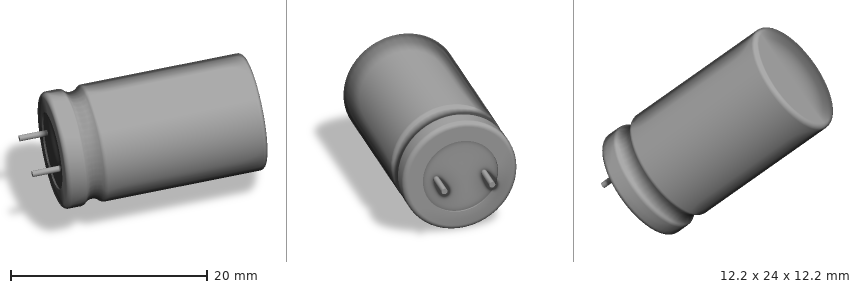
import cadquery as cq
import math

total_length = 24.0
can_diameter = 12.2
lead_length = 2.78
can_length = total_length - lead_length
can_radius = can_diameter / 2

rim_radius = 0.5

groove_center = 3.05
groove_depth = 0.53
groove_radius = 1.2
shoulder_radius = 0.5

recess_diameter = 8.02
recess_depth = 0.2

lead_diameter = 0.62
lead_spacing = 5.1


def make_can():
    """Plain cylinder with rounded rims."""
    can = cq.Workplane("XZ").circle(can_radius).extrude(-can_length)
    return can.faces("<Y or >Y").edges().fillet(rim_radius)


def make_groove_cutter():
    """Ring swept around the can's axis that removes the crimp groove."""
    floor_radius = can_radius - groove_depth
    arc_center_radius = floor_radius + groove_radius
    shoulder_center_radius = can_radius - shoulder_radius

    center_rise = arc_center_radius - shoulder_center_radius
    blend_angle = math.acos(center_rise / (groove_radius + shoulder_radius))
    half_width = (groove_radius + shoulder_radius) * math.sin(blend_angle)
    tangent_offset = groove_radius * math.sin(blend_angle)
    tangent_radius = arc_center_radius - groove_radius * math.cos(blend_angle)

    shoulder_mid_offset = half_width - shoulder_radius * math.sin(blend_angle / 2)
    shoulder_mid_radius = shoulder_center_radius + shoulder_radius * math.cos(blend_angle / 2)

    profile = (
        cq.Workplane("XY")
        .moveTo(can_radius, groove_center - half_width)
        .threePointArc(
            (shoulder_mid_radius, groove_center - shoulder_mid_offset),
            (tangent_radius, groove_center - tangent_offset),
        )
        .threePointArc(
            (floor_radius, groove_center),
            (tangent_radius, groove_center + tangent_offset),
        )
        .threePointArc(
            (shoulder_mid_radius, groove_center + shoulder_mid_offset),
            (can_radius, groove_center + half_width),
        )
        .lineTo(can_radius + groove_depth, groove_center + half_width)
        .lineTo(can_radius + groove_depth, groove_center - half_width)
        .close()
    )
    return profile.revolve(360, (0, 0, 0), (0, 1, 0))


def make_recess_cutter():
    """Disc that removes the recess from the lead end."""
    return cq.Workplane("XZ").circle(recess_diameter / 2).extrude(-recess_depth)


def make_leads():
    """Two round leads rising from the recess floor."""
    return (
        cq.Workplane("XZ", origin=(0, recess_depth, 0))
        .pushPoints([(-lead_spacing / 2, 0), (lead_spacing / 2, 0)])
        .circle(lead_diameter / 2)
        .extrude(lead_length + recess_depth)
    )


result = make_can().cut(make_groove_cutter()).cut(make_recess_cutter()).union(make_leads())